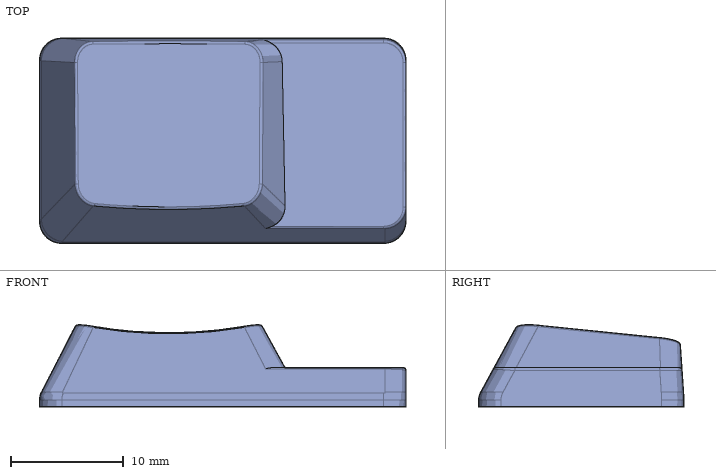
import cadquery as cq
import math

length = 32.45
width = 18.17
corner_radius = 1.98
left = -length / 2
right = length / 2
front = -width / 2
back = width / 2

bend_height = 0.97
blend_radius = 1.45
blend_steps = 4

key_length = 23.1
key_top_front_height = 7.8
key_top_tilt = 5.9
key_top_radius = 1.82
left_inset = 3.4
right_inset = 3.65
side_lean = 0.53
front_lean = 0.545
back_lean = 0.068
key_right = left + key_length
top_left = left + left_inset
top_right = key_right - right_inset
key_center_x = (top_left + top_right) / 2

dish_radius = 37.32
dish_depth = 1.25

step_height = 3.47
step_left = key_center_x

top_round = 0.25

front_skim = 0.003

front_angle = math.atan(front_lean)
blend_reach = blend_radius * math.tan(front_angle / 2)
blend_bottom = bend_height - blend_reach
blend_top = bend_height + blend_reach * math.cos(front_angle)
blend_rise = blend_top - bend_height

tilt = math.radians(key_top_tilt)
top_front_rise = key_top_front_height - bend_height
top_front_y = front + front_lean * top_front_rise
top_back_rise = (top_front_rise - (back - top_front_y) * math.tan(tilt)) / (
    1 - back_lean * math.tan(tilt)
)
top_back_y = back - back_lean * top_back_rise
top_depth = (top_back_y - top_front_y) / math.cos(tilt)
top_plane = cq.Plane(
    origin=(key_center_x, top_front_y, key_top_front_height),
    xDir=(1, 0, 0),
    normal=(0, math.sin(tilt), math.cos(tilt)),
)


def rounded_outline(plane, x_min, x_max, y_min, y_max, radius):
    """Rounded rectangle wire given by its limits in the local axes of a plane."""
    middle = ((x_min + x_max) / 2, (y_min + y_max) / 2)
    sketch = cq.Sketch().rect(x_max - x_min, y_max - y_min).vertices().fillet(radius)
    return cq.Workplane(plane).center(*middle).placeSketch(sketch).extrude(0.32).faces(
        cq.selectors.DirectionMinMaxSelector(plane.zDir, False)
    ).wires().val()


def wall_outline(height, rise, x_min, x_max):
    """Level outline whose front and back lie on walls that have leaned in over the given rise."""
    return rounded_outline(
        cq.Plane((0, 0, height)),
        x_min,
        x_max,
        front + front_lean * rise,
        back - back_lean * rise,
        corner_radius,
    )


def make_skirt():
    skirt = cq.Workplane("XY").rect(length, width).extrude(blend_bottom)
    return skirt.edges("|Z").fillet(corner_radius)


def make_blend():
    outlines = []
    for step in range(blend_steps + 1):
        angle = front_angle * step / blend_steps
        height = blend_bottom + blend_radius * math.sin(angle)
        front_inset = blend_radius * (1 - math.cos(angle))
        rise = front_inset / front_lean
        outlines.append(wall_outline(height, rise, left + side_lean * rise, right))
    return cq.Workplane(cq.Solid.makeLoft(outlines))


def make_key():
    inset = side_lean * blend_rise
    lower = wall_outline(blend_top, blend_rise, left + inset, key_right - inset)
    top_half = (top_right - top_left) / 2
    upper = rounded_outline(top_plane, -top_half, top_half, 0, top_depth, key_top_radius)
    key = cq.Workplane(cq.Solid.makeLoft([lower, upper], True))

    overrun = top_depth
    dish_plane = cq.Plane(
        origin=top_plane.toWorldCoords((0, top_depth + overrun, 0)),
        xDir=top_plane.xDir,
        normal=-top_plane.yDir,
    )
    dish = (
        cq.Workplane(dish_plane)
        .center(0, dish_radius - dish_depth)
        .circle(dish_radius)
        .extrude(top_depth + 2 * overrun)
    )
    key = key.cut(dish)
    dish_bottom = top_plane.toWorldCoords((0, top_depth / 2, -dish_depth)).toTuple()
    return key.faces(cq.selectors.NearestToPointSelector(dish_bottom)).edges().fillet(top_round)


def make_step():
    lower = wall_outline(blend_top, blend_rise, step_left, right)
    upper = wall_outline(step_height, step_height - bend_height, step_left, right)
    step = cq.Workplane(cq.Solid.makeLoft([lower, upper], True))
    return step.faces(">Z").edges().fillet(top_round)


def skim_front(body):
    """Trim the body to the flat plane of the leaning front wall."""
    wall_plane = cq.Plane(
        origin=(0, front, bend_height),
        xDir=(1, 0, 0),
        normal=(0, -math.cos(front_angle), math.sin(front_angle)),
    )
    waste = (
        cq.Workplane(wall_plane)
        .workplane(offset=-front_skim)
        .rect(2 * length, 2 * width)
        .extrude(width)
    )
    return body.cut(waste)


body = make_skirt().union(make_blend()).union(make_step()).union(make_key())
result = skim_front(body)